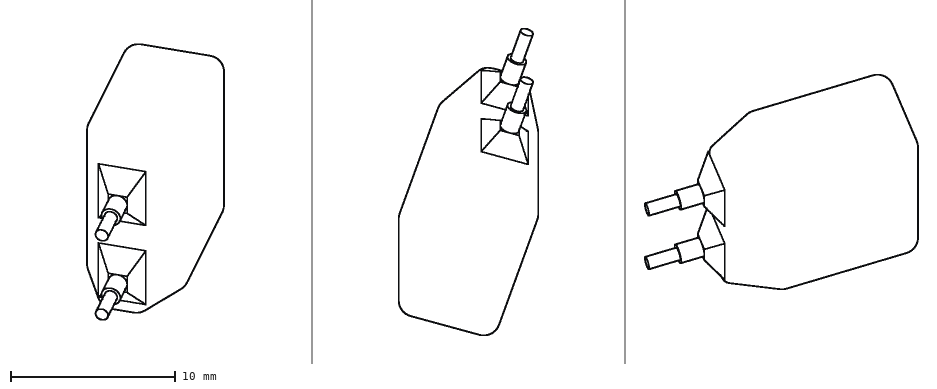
import cadquery as cq

housing_width = 6.4
housing_height = 11.9
housing_length = 12.2
straight_length = 9.0
front_width = 3.0
edge_radius = 1.0
front_edge_radius = 0.5

pyramid_width = front_width
pyramid_height = 4.0
pyramid_length = 1.0
sleeve_diameter = 1.2
sleeve_length = 1.49
pin_diameter = 0.8
total_length = 16.7
pin_length = total_length - housing_length - pyramid_length - sleeve_length

outlet_offset = housing_height / 2 - edge_radius - pyramid_height / 2
outlet_heights = [outlet_offset, -outlet_offset]


def front_plane(distance, height):
    """Plane facing -Y, at a distance in front of the housing, centred on an outlet."""
    return cq.Plane(origin=(0, -distance, height), xDir=(1, 0, 0), normal=(0, -1, 0))


def make_housing():
    """Box tapered toward the front, with every edge rounded."""
    taper_start = housing_length - straight_length
    outline = [
        (-front_width / 2, 0),
        (front_width / 2, 0),
        (housing_width / 2, taper_start),
        (housing_width / 2, housing_length),
        (-housing_width / 2, housing_length),
        (-housing_width / 2, taper_start),
    ]
    block = (
        cq.Workplane("XY")
        .workplane(offset=-housing_height / 2)
        .polyline(outline)
        .close()
        .extrude(housing_height)
    )
    rounded = block.edges("not(<Y)").fillet(edge_radius)
    return rounded.faces("<Y").edges().fillet(front_edge_radius)


def make_pyramid(height):
    """Truncated pyramid whose square tip is as wide as the sleeve."""
    return (
        cq.Workplane(front_plane(0, height))
        .rect(pyramid_width, pyramid_height)
        .workplane(offset=pyramid_length)
        .rect(sleeve_diameter, sleeve_diameter)
        .loft(ruled=True)
    )


def make_sleeve(height):
    """Round insulation sleeve standing on the pyramid tip."""
    plane = front_plane(pyramid_length, height)
    return cq.Workplane(plane).circle(sleeve_diameter / 2).extrude(sleeve_length)


def make_pin(height):
    """Thin round pin standing on the sleeve end."""
    plane = front_plane(pyramid_length + sleeve_length, height)
    return cq.Workplane(plane).circle(pin_diameter / 2).extrude(pin_length)


bodies = [make_housing().val()]
for outlet_height in outlet_heights:
    bodies.append(make_pyramid(outlet_height).val())
    bodies.append(make_sleeve(outlet_height).val())
    bodies.append(make_pin(outlet_height).val())

result = cq.Compound.makeCompound(bodies)